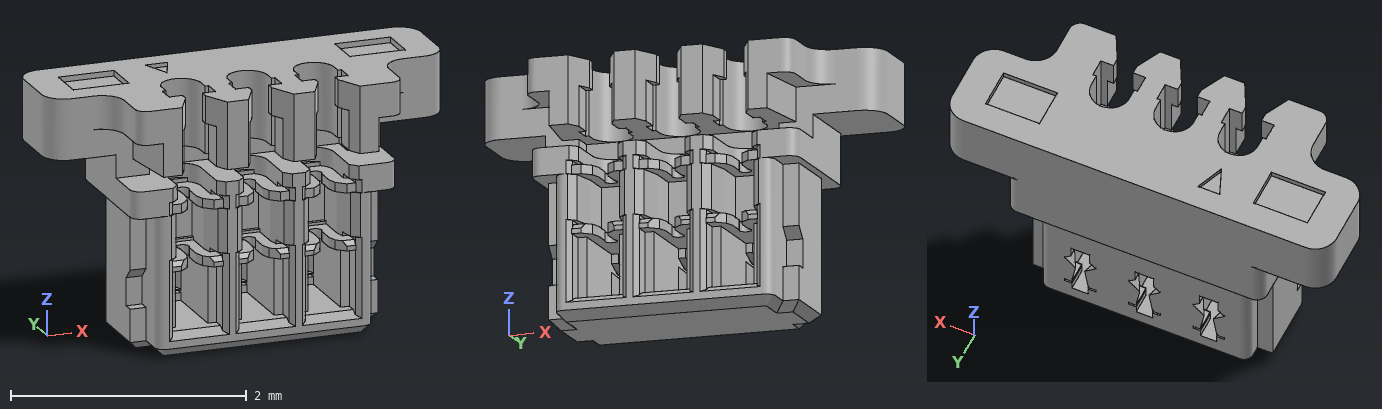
import cadquery as cq

LENGTH = 3.6
DEPTH = 1.37
HEIGHT = 2.28

PLATE_FRONT = 0.55
PLATE_BOTTOM = 1.728
PLATE_RADIUS = 0.2
FLANGE_HALF = 1.2
FLANGE_BOTTOM = 1.275
FLANGE_TOP = 1.52
FLANGE_RADIUS = 0.1

LIP_BOTTOM = 1.675
LIP_STEP = 1.975
LIP_FOOT_FRONT_HALF = 0.975
LIP_FOOT_BACK_HALF = 1.048
GAP_POCKET_HALF = 0.895
GAP_POCKET_BACK = 0.75

BODY_FRONT = 0.13
BODY_BACK = 1.17
CORE_HALF = 0.98
CORE_RADIUS = 0.085
KEY_HALF = 1.125
KEY_FRONT = 0.41
KEY_BACK = 1.0
BODY_CHAMFER = 0.083
LATCH_DEPTH = 0.097
LATCH_BOTTOM = 0.38
LATCH_TOP = 0.635

PAD_DEPTH = 0.05
ARROW_DEPTH = 0.035
PAD_WIDTH = 0.505
PAD_LENGTH = 0.36
PAD_X = 1.253
PAD_Y = 0.945
ARROW_WIDTH = 0.2
ARROW_TIP = 0.915
ARROW_BASE = 1.165

PITCH = 0.6
WIRE_XS = [-PITCH, 0.0, PITCH]

ENTRY_HALF = 0.175
ENTRY_BACK = 0.738
ENTRY_FRONT = 0.302
NOTCH_HALF = 0.21
NOTCH_BACK = 0.465
NECK_HALF = 0.09
NECK_FRONT = 0.225
FLARE_HALF = 0.205
WIDE_NECK_HALF = 0.148
WIDE_NECK_TOP = 2.03
BEVEL_HALF = 0.24

SILL_BOTTOM = 0.15
CHAMBER_BOTTOM = 0.205
CHAMBER_HALF = 0.225
CHAMBER_STEP = 0.32
LOWER_WINDOW_TOP = 0.875
CHAMBER_TOP = 1.395
FRAME_HALF = 0.27
SILL_DEPTH = 0.097
INNER_HALF = 0.148
INNER_BACK = 0.972
WAIST_STEP = 0.415
WAIST_BACK = 0.702
WAIST_HALF = 0.255
WAIST_NECK_HALF = 0.19

CONTACT_FRONT = 0.17
CONTACT_EMBED = 0.01
UPPER_CONTACT_TOP = 1.357
UPPER_CONTACT_BOTTOM = 1.275
LOWER_CONTACT_TOP = 0.842
LOWER_CONTACT_BOTTOM = 0.755
BEVEL_HEIGHT = 0.045
BEVEL_DEPTH = 0.03
LEDGE_FRONT = 0.665
LEDGE_TOP = 0.868
SLOT_HALF = 0.045
SLOT_HEAD_RADIUS = 0.055
SLOT_HEAD_Y = 0.53
SLOT_NECK_Y = 0.325
SLOT_FLARE_HALF = 0.07
SLOT_FLARE_Y = 0.24

REAR_TOP_HALF = 0.085
REAR_BOTTOM_HALF = 0.075
REAR_PINCH_HALF = 0.045
REAR_PINCH_Z = 0.505
REAR_SHOULDER_Z = 0.675
REAR_DIAMOND_TOP = 0.648
REAR_DIAMOND_Z = 0.598
REAR_RAMP_BOTTOM = 0.305
REAR_SLIT_BOTTOM = 0.275
REAR_SLIT_TOP = 0.295

EPS = 0.005


def block(half, y0, y1, z0, z1, x=0.0):
    """Box centred on x, from y0 to y1 and z0 to z1."""
    corner = cq.Workplane("XY", origin=(x, y0, z0))
    return corner.box(2 * half, y1 - y0, z1 - z0, centered=(True, False, False))


def with_mirror(half_outline):
    """Closed outline made of the points on the +X side and their mirror images."""
    return half_outline + [(-x, other) for x, other in reversed(half_outline)]


def prism(half_outline, z0, z1):
    """Upright prism, symmetric in X, from the (x, y) points on its +X side."""
    base = cq.Workplane("XY").workplane(offset=z0)
    return base.polyline(with_mirror(half_outline)).close().extrude(z1 - z0)


def make_top():
    """Top plate with the lip that overhangs the front."""
    plate = block(LENGTH / 2, PLATE_FRONT, DEPTH, PLATE_BOTTOM, HEIGHT).edges("|Z").fillet(PLATE_RADIUS)
    lip = block(FLANGE_HALF, 0, PLATE_FRONT + PLATE_RADIUS, LIP_STEP, HEIGHT)
    lip = lip.faces("<Y").edges("|Z").fillet(FLANGE_RADIUS)
    outer = FLANGE_HALF + PLATE_RADIUS
    blend = block(outer, PLATE_FRONT - PLATE_RADIUS, PLATE_FRONT + EPS, LIP_STEP, HEIGHT)
    rounds = (
        cq.Workplane("XY")
        .workplane(offset=LIP_STEP)
        .pushPoints([(side * outer, PLATE_FRONT - PLATE_RADIUS) for side in (-1, 1)])
        .circle(PLATE_RADIUS)
        .extrude(HEIGHT - LIP_STEP)
    )
    blend = blend.cut(rounds)
    foot = prism([(LIP_FOOT_FRONT_HALF, 0), (LIP_FOOT_BACK_HALF, PLATE_FRONT + EPS)], LIP_BOTTOM, LIP_STEP)
    return plate.union(lip).union(blend).union(foot)


def make_flange():
    """Flange under the plate, open in front between its shelf and the lip."""
    flange = block(FLANGE_HALF, BODY_FRONT, DEPTH, FLANGE_BOTTOM, PLATE_BOTTOM)
    flange = flange.edges("|Z").fillet(FLANGE_RADIUS)
    gap = block(LENGTH / 2, 0, PLATE_FRONT, FLANGE_TOP, PLATE_BOTTOM)
    return flange.cut(gap)


def make_body():
    """Plug body: a rounded core with a wider key along each side."""
    core = block(CORE_HALF, BODY_FRONT, BODY_BACK, 0, FLANGE_BOTTOM).edges("|Z").fillet(CORE_RADIUS)
    key = block(KEY_HALF, KEY_FRONT, KEY_BACK, 0, FLANGE_BOTTOM)
    core = core.faces("<Z").chamfer(BODY_CHAMFER)
    key = key.faces("<Z").chamfer(BODY_CHAMFER)
    notch_back = KEY_FRONT + LATCH_DEPTH
    notch = (
        cq.Workplane("YZ")
        .polyline(
            [
                (KEY_FRONT, LATCH_BOTTOM),
                (notch_back, LATCH_BOTTOM),
                (notch_back, LATCH_TOP),
                (KEY_FRONT, LATCH_TOP + LATCH_DEPTH),
            ]
        )
        .close()
        .extrude(KEY_HALF, both=True)
    )
    return core.union(key.cut(notch))


def make_top_marks():
    """Two rectangular recesses and the arrow beside the first wire."""
    pad_front = PAD_Y - PAD_LENGTH / 2
    pad = block(PAD_WIDTH / 2, pad_front, pad_front + PAD_LENGTH, HEIGHT - PAD_DEPTH, HEIGHT, PAD_X)
    arrow = (
        cq.Workplane("XY")
        .workplane(offset=HEIGHT - ARROW_DEPTH)
        .polyline([(-ARROW_WIDTH / 2, ARROW_BASE), (ARROW_WIDTH / 2, ARROW_BASE), (0, ARROW_TIP)])
        .close()
        .extrude(ARROW_DEPTH)
        .translate((-PITCH, 0, 0))
    )
    return pad.union(pad.mirror("YZ")).union(arrow)


def make_wire_entry():
    """Arched wire channel with a narrow neck that flares open at the front."""
    arch_y = ENTRY_BACK - ENTRY_HALF
    entry = (
        cq.Workplane("XY")
        .workplane(offset=UPPER_CONTACT_TOP)
        .moveTo(-ENTRY_HALF, ENTRY_FRONT)
        .lineTo(-ENTRY_HALF, arch_y)
        .threePointArc((0, ENTRY_BACK), (ENTRY_HALF, arch_y))
        .lineTo(ENTRY_HALF, ENTRY_FRONT)
        .close()
        .extrude(HEIGHT - UPPER_CONTACT_TOP)
    )
    notches = block(NOTCH_HALF, ENTRY_FRONT, NOTCH_BACK, LIP_BOTTOM, HEIGHT)
    neck_outline = [(FLARE_HALF, 0), (NECK_HALF, NECK_FRONT), (NECK_HALF, ENTRY_FRONT + EPS)]
    neck = prism(neck_outline, LIP_BOTTOM, HEIGHT)
    wide_neck = block(WIDE_NECK_HALF, 0, ENTRY_FRONT + EPS, LIP_BOTTOM, WIDE_NECK_TOP)
    bevel_back = BODY_FRONT + BEVEL_HALF - ENTRY_HALF
    mouth_outline = [(BEVEL_HALF, BODY_FRONT), (ENTRY_HALF, bevel_back), (ENTRY_HALF, ENTRY_FRONT + EPS)]
    mouth = prism(mouth_outline, CHAMBER_TOP - EPS, FLANGE_TOP)
    return entry.union(notches).union(neck).union(wide_neck).union(mouth)


def make_window():
    """Lower and upper windows with bevelled sides, and the narrower waist that joins them."""
    window_outline = [
        (FRAME_HALF, BODY_FRONT),
        (CHAMBER_HALF, BODY_FRONT + FRAME_HALF - CHAMBER_HALF),
        (CHAMBER_HALF, CHAMBER_STEP),
    ]
    sill = (
        cq.Workplane("YZ")
        .polyline(
            [
                (BODY_FRONT, SILL_BOTTOM),
                (BODY_FRONT + SILL_DEPTH, CHAMBER_BOTTOM),
                (CHAMBER_STEP, CHAMBER_BOTTOM),
                (CHAMBER_STEP, SILL_BOTTOM),
            ]
        )
        .close()
        .extrude(FRAME_HALF, both=True)
    )
    lower = prism(window_outline, SILL_BOTTOM, LOWER_WINDOW_TOP).cut(sill)
    upper = prism(window_outline, UPPER_CONTACT_BOTTOM, CHAMBER_TOP)
    inner = block(INNER_HALF, CHAMBER_STEP - EPS, INNER_BACK, CHAMBER_BOTTOM, LOWER_CONTACT_BOTTOM)
    waist_outline = [
        (WAIST_HALF, BODY_FRONT),
        (WAIST_NECK_HALF, BODY_FRONT + WAIST_HALF - WAIST_NECK_HALF),
        (INNER_HALF, WAIST_STEP),
        (INNER_HALF, WAIST_BACK),
    ]
    waist = prism(waist_outline, LOWER_CONTACT_BOTTOM, UPPER_CONTACT_TOP)
    return lower.union(upper).union(inner).union(waist)


def make_rear_opening():
    """Opening that narrows from a wide mouth inside to the pinched gap at the back."""
    mouth = [
        (REAR_TOP_HALF, LOWER_CONTACT_BOTTOM),
        (REAR_TOP_HALF, REAR_SHOULDER_Z),
        (INNER_HALF, REAR_SHOULDER_Z),
        (INNER_HALF, REAR_DIAMOND_Z),
        (INNER_HALF, REAR_RAMP_BOTTOM),
        (REAR_BOTTOM_HALF, REAR_RAMP_BOTTOM - EPS),
        (REAR_BOTTOM_HALF, CHAMBER_BOTTOM),
    ]
    pinch = [
        (REAR_TOP_HALF, LOWER_CONTACT_BOTTOM),
        (REAR_TOP_HALF, REAR_DIAMOND_TOP),
        (INNER_HALF, REAR_DIAMOND_Z),
        (REAR_PINCH_HALF, REAR_PINCH_Z),
        (REAR_BOTTOM_HALF, REAR_RAMP_BOTTOM),
        (REAR_BOTTOM_HALF, REAR_RAMP_BOTTOM - EPS),
        (REAR_BOTTOM_HALF, CHAMBER_BOTTOM),
    ]
    opening = (
        cq.Workplane("XZ", origin=(0, INNER_BACK, 0))
        .polyline(with_mirror(mouth))
        .close()
        .workplane(offset=INNER_BACK - BODY_BACK)
        .polyline(with_mirror(pinch))
        .close()
        .loft(ruled=True)
    )
    slit = block(INNER_HALF, INNER_BACK, BODY_BACK, REAR_SLIT_BOTTOM, REAR_SLIT_TOP)
    return opening.union(slit)


def make_contact(bottom, top):
    """Contact plate with a keyhole slot that flares open at the front."""
    plate = block(CHAMBER_HALF + CONTACT_EMBED, CONTACT_FRONT, ENTRY_BACK, bottom, top)
    slot_outline = [
        (INNER_HALF, CONTACT_FRONT),
        (SLOT_FLARE_HALF, SLOT_FLARE_Y),
        (SLOT_HALF, SLOT_NECK_Y),
        (SLOT_HALF, SLOT_HEAD_Y),
    ]
    head = cq.Workplane("XY").workplane(offset=bottom).center(0, SLOT_HEAD_Y).circle(SLOT_HEAD_RADIUS)
    return plate.cut(prism(slot_outline, bottom, top)).cut(head.extrude(top - bottom))


def make_contacts():
    """Upper and lower plates, a ledge behind each, and the bevel on the lower front edges."""
    upper = make_contact(UPPER_CONTACT_BOTTOM, UPPER_CONTACT_TOP)
    lower = make_contact(LOWER_CONTACT_BOTTOM, LOWER_CONTACT_TOP)
    bevel = (
        cq.Workplane("YZ")
        .polyline(
            [
                (CONTACT_FRONT, LOWER_CONTACT_TOP),
                (CONTACT_FRONT + BEVEL_DEPTH, LOWER_CONTACT_TOP),
                (CONTACT_FRONT, LOWER_CONTACT_TOP - BEVEL_HEIGHT),
            ]
        )
        .close()
        .extrude(FRAME_HALF, both=True)
    )
    upper_ledge = block(INNER_HALF, WAIST_BACK, ENTRY_BACK, UPPER_CONTACT_TOP, CHAMBER_TOP)
    lower_ledge = block(INNER_HALF, LEDGE_FRONT, WAIST_BACK + EPS, LOWER_CONTACT_TOP, LEDGE_TOP)
    return upper.union(upper_ledge).union(lower.cut(bevel)).union(lower_ledge)


housing = make_top().union(make_flange()).union(make_body())
housing = housing.cut(block(GAP_POCKET_HALF, 0, GAP_POCKET_BACK, FLANGE_TOP, LIP_BOTTOM))
housing = housing.cut(make_top_marks())
opening = make_wire_entry().union(make_window()).union(make_rear_opening())
contacts = make_contacts()
for wire_x in WIRE_XS:
    housing = housing.cut(opening.translate((wire_x, 0, 0))).union(contacts.translate((wire_x, 0, 0)))

result = housing